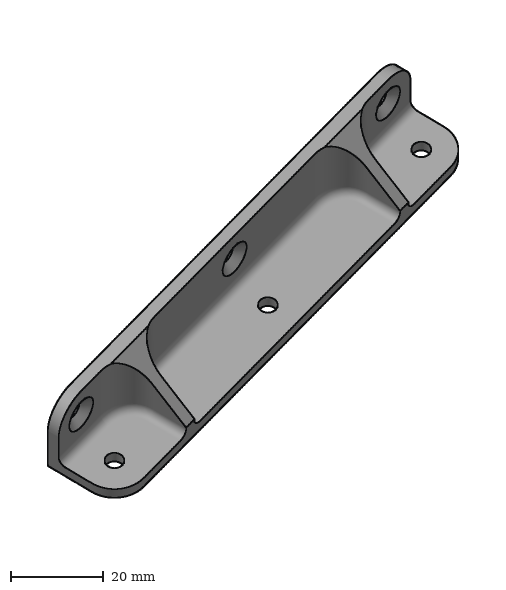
import cadquery as cq

length = 125.0
leg = 20.0
thickness = 3.0
end_radius = 8.0
rib_offset = 38.0
rib_top_start = 3.5
rib_tip_height = 5.5
blend_radius = 8.0
floor_fillet = 2.0
hole_diameter = 4.2
sink_diameter = 8.5
hole_distance = leg - end_radius
hole_offset = length / 2 - end_radius
overrun = 12.5


def pocket(y_start, y_end):
    """Cutter for one open pocket, rounded where its sides meet the wall and floor."""
    return (
        cq.Workplane("XY")
        .box(leg + overrun, y_end - y_start, leg + overrun, centered=False)
        .edges("|Z and <X")
        .fillet(blend_radius)
        .faces("<Z")
        .edges()
        .fillet(floor_fillet)
        .translate((thickness, y_start, thickness))
    )


body = (
    cq.Workplane("XZ")
    .polyline([
        (0, 0),
        (leg, 0),
        (leg, rib_tip_height),
        (rib_top_start, leg),
        (0, leg),
    ])
    .close()
    .extrude(length / 2, both=True)
)

rib_inner = rib_offset - thickness / 2
rib_outer = rib_offset + thickness / 2
pocket_end = length / 2 + overrun
body = body.cut(pocket(-rib_inner, rib_inner))
body = body.cut(pocket(rib_outer, pocket_end))
body = body.cut(pocket(-pocket_end, -rib_outer))

floor_outline = (
    cq.Workplane("XY")
    .box(leg, length, leg, centered=(False, True, False))
    .edges("|Z and >X")
    .fillet(end_radius)
)
wall_outline = (
    cq.Workplane("XY")
    .box(leg, length, leg, centered=(False, True, False))
    .edges("|X and >Z")
    .fillet(end_radius)
)
body = body.intersect(floor_outline).intersect(wall_outline)

sink_depth = (sink_diameter - hole_diameter) / 2
for y in (-hole_offset, 0, hole_offset):
    floor_hole = (
        cq.Workplane("XY")
        .center(hole_distance, y)
        .circle(hole_diameter / 2)
        .extrude(thickness)
    )
    wall_hole = (
        cq.Workplane("YZ")
        .center(y, hole_distance)
        .circle(hole_diameter / 2)
        .extrude(thickness)
    )
    countersink = cq.Workplane(cq.Solid.makeCone(
        hole_diameter / 2,
        sink_diameter / 2,
        sink_depth,
        pnt=cq.Vector(thickness - sink_depth, y, hole_distance),
        dir=cq.Vector(1, 0, 0),
    ))
    body = body.cut(floor_hole).cut(wall_hole).cut(countersink)

result = body